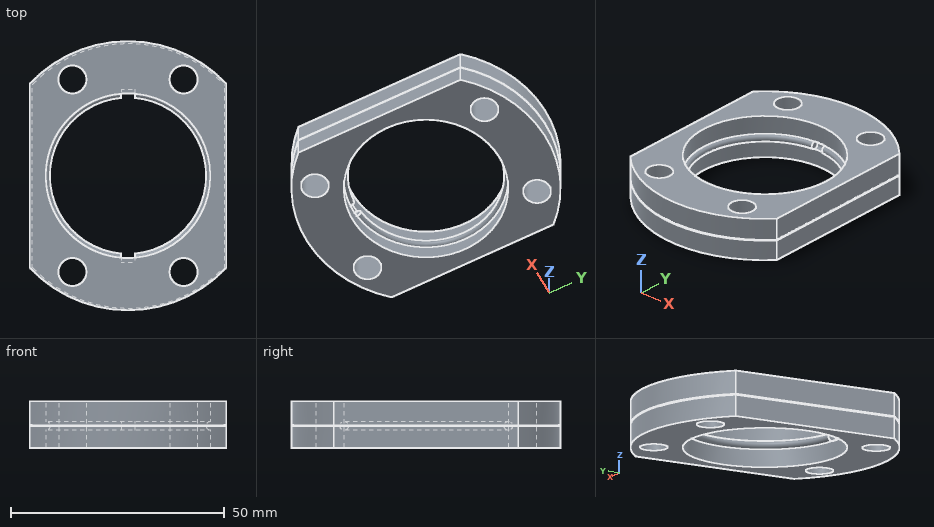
import cadquery as cq
import math

outer_diameter = 63.0
width_across_flats = 46.0
thickness = 11.0

bore_diameter = 38.5

lower_plate_thickness = 5.2
parting_gap = 0.2
parting_depth = 0.5

bolt_hole_diameter = 6.5
bolt_circle_diameter = 52.0
bolt_angle = 60.0

wire_diameter = 2.0
wire_end_gap = 3.2
parting_height = lower_plate_thickness + parting_gap / 2


def flatted_disc(diameter, width, bottom, height):
    """Disc of the given diameter trimmed to a width along X."""
    disc = cq.Workplane("XY").circle(diameter / 2).extrude(height)
    trim = cq.Workplane("XY").rect(width, diameter).extrude(height)
    return disc.intersect(trim).translate((0, 0, bottom))


def parting_groove():
    """Shallow band that follows the whole outer outline."""
    band = flatted_disc(outer_diameter, width_across_flats, lower_plate_thickness, parting_gap)
    core = flatted_disc(
        outer_diameter - 2 * parting_depth,
        width_across_flats - 2 * parting_depth,
        lower_plate_thickness,
        parting_gap,
    )
    return band.cut(core)


def bolt_holes():
    """Four through holes on the bolt circle, at the bolt angle from the X axis."""
    angle = math.radians(bolt_angle)
    x = bolt_circle_diameter / 2 * math.cos(angle)
    y = bolt_circle_diameter / 2 * math.sin(angle)
    centres = [(sx * x, sy * y) for sx in (-1, 1) for sy in (-1, 1)]
    return cq.Workplane("XY").pushPoints(centres).circle(bolt_hole_diameter / 2).extrude(thickness)


def wire_ring():
    """Full torus centred on the bore wall at the parting height."""
    ring = cq.Solid.makeTorus(bore_diameter / 2, wire_diameter / 2)
    return cq.Workplane(obj=ring).translate((0, 0, parting_height))


def wire_gaps():
    """Slab along Y that opens both gaps between the ends of the wire halves."""
    length = bore_diameter + 2 * wire_diameter
    return cq.Workplane("XY").box(wire_end_gap, length, wire_diameter).translate((0, 0, parting_height))


body = flatted_disc(outer_diameter, width_across_flats, 0, thickness)
bore = cq.Workplane("XY").circle(bore_diameter / 2).extrude(thickness)
body = body.cut(bore).cut(bolt_holes()).cut(parting_groove())

wire = wire_ring()
seat_openings = wire.intersect(wire_gaps())
wire_halves = wire.cut(wire_gaps())

result = body.cut(seat_openings).union(wire_halves)